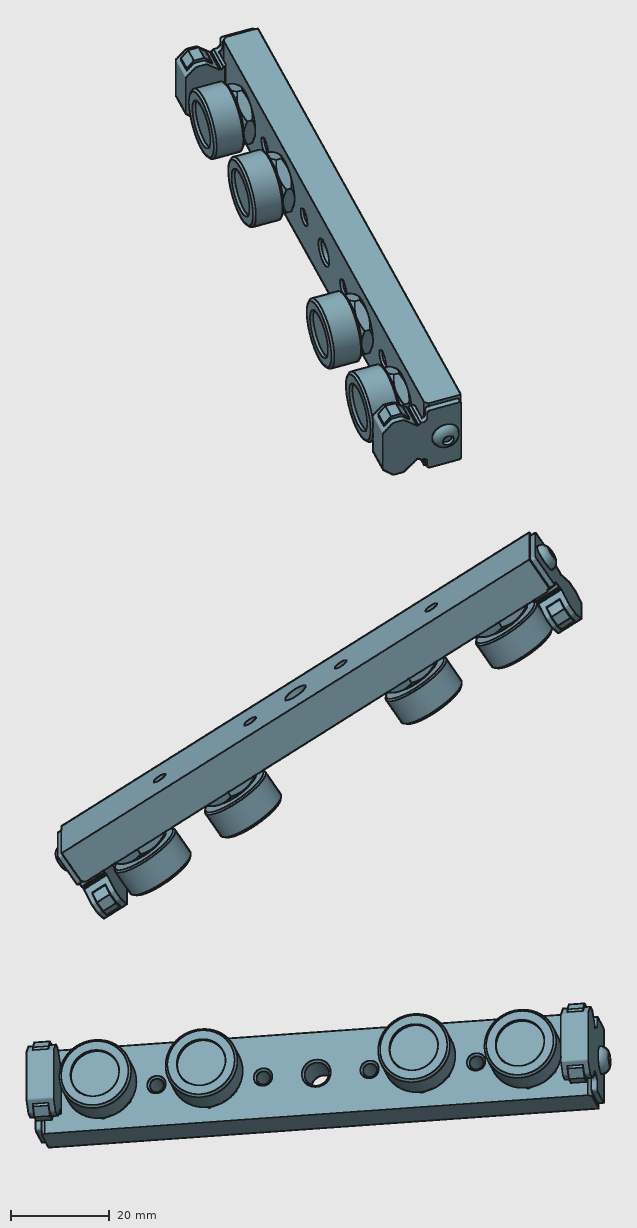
import cadquery as cq
import math


OVERALL_LENGTH = 119.8

RAIL_LENGTH = 113.8
RAIL_DEPTH = 7.8
RAIL_WIDTH = 18.0
RAIL_CHAMFER = 0.7
HOLE_PITCH = 11.0
SMALL_HOLE_RADIUS = 1.4
LARGE_HOLE_RADIUS = 2.5
HOLE_CHAMFER = 0.5

OUTER_ROLLER_X = 44.0
INNER_ROLLER_X = OUTER_ROLLER_X / 2
ROLLER_OFFSET = 0.4
ROLLER_RADIUS = 7.4
ROLLER_BACK_DEPTH = 10.8
ROLLER_FRONT_DEPTH = 17.4
ROLLER_FRONT_CHAMFER = 0.5
ROLLER_BACK_CHAMFER = 0.4
RECESS_RADIUS = 5.0
RECESS_DEPTH = 0.7
HEX_ACROSS_FLATS = 11.4
HEX_FRONT_DEPTH = 10.3
HEX_CHAMFER_HEIGHT = 0.7
COLLAR_RADIUS = 4.4

PLATE_THICKNESS = 1.2
PLATE_BACK_DEPTH = 0.4
PLATE_HALF_WIDTH = 8.1
PLATE_CORNER_RADIUS = 0.6
CAP_THICKNESS = 5.6
CAP_FRONT_DEPTH = 17.5
FACE_HALF_WIDTH = 5.2
NECK_HALF_WIDTH = 5.3
NECK_RADIUS = 1.0
NECK_END_DEPTH = 9.2
NECK_CLEARANCE = 0.7
NECK_CHAMFER = 0.5
GROOVE_HALF_WIDTH = 4.8
GROOVE_START_DEPTH = 9.7
GROOVE_END_DEPTH = 10.1
HEAD_HALF_WIDTH = 7.4
HEAD_TOP_START_DEPTH = 13.0
HEAD_TOP_END_DEPTH = 15.2
HEAD_CORNER_RADIUS = 1.0
FACE_CORNER_RADIUS = 0.6
PAD_RISE = 0.7
PAD_LENGTH = 3.2
PAD_BACK_DEPTH = 11.3
PAD_BACK_HALF_WIDTH = 6.4
PAD_FRONT_DEPTH = 16.8
PAD_FRONT_HALF_WIDTH = 6.5

SCREW_RADIUS = 2.9
SCREW_SHOULDER_RADIUS = 2.3
SCREW_SHOULDER_HEIGHT = 1.3
SOCKET_RADIUS = 1.2
SOCKET_DEPTH = 1.0

CAP_OUTER_X = RAIL_LENGTH / 2 + PLATE_THICKNESS
CAP_INNER_X = CAP_OUTER_X - CAP_THICKNESS
CAP_MIDDLE_X = CAP_OUTER_X - CAP_THICKNESS / 2
SCREW_HEIGHT = OVERALL_LENGTH / 2 - CAP_OUTER_X


def depth_plane(depth, x=0, z=0):
    """Workplane parallel to the rail's faces at a depth; extruding goes towards the front."""
    return cq.Workplane("XZ", origin=(x, -depth, z))


def cylinder(x, z, radius, start_depth, end_depth):
    return depth_plane(start_depth, x, z).circle(radius).extrude(end_depth - start_depth)


def rail_block(depth):
    return depth_plane(0).rect(RAIL_LENGTH, RAIL_WIDTH).extrude(depth)


def make_rail():
    rail = rail_block(RAIL_DEPTH).edges("|Z and <Y").chamfer(RAIL_CHAMFER)
    rail = rail.cut(cylinder(0, 0, LARGE_HOLE_RADIUS, 0, RAIL_DEPTH))
    for step in (-3, -1, 1, 3):
        rail = rail.cut(cylinder(step * HOLE_PITCH, 0, SMALL_HOLE_RADIUS, 0, RAIL_DEPTH))
    return rail.faces("<Y").edges("%CIRCLE").chamfer(HOLE_CHAMFER)


def make_hex(x, z):
    """Hexagonal base with two corners on Z, its corners chamfered at both ends."""
    corner_radius = HEX_ACROSS_FLATS / 2 / math.cos(math.pi / 6)
    corner_drop = corner_radius - HEX_ACROSS_FLATS / 2
    hexagon = (
        depth_plane(RAIL_DEPTH, x, z)
        .transformed(rotate=(0, 0, 30))
        .polygon(6, 2 * corner_radius)
        .extrude(HEX_FRONT_DEPTH - RAIL_DEPTH)
    )
    envelope = (
        cylinder(x, z, corner_radius, RAIL_DEPTH, HEX_FRONT_DEPTH)
        .faces("<Y or >Y")
        .edges()
        .chamfer(HEX_CHAMFER_HEIGHT, corner_drop)
    )
    return hexagon.intersect(envelope)


def make_roller(x, z):
    """Roller with its collar and hexagonal base, standing on the rail's front face."""
    wheel = cylinder(x, z, ROLLER_RADIUS, ROLLER_BACK_DEPTH, ROLLER_FRONT_DEPTH)
    wheel = wheel.faces("<Y").edges().chamfer(ROLLER_FRONT_CHAMFER)
    wheel = wheel.faces(">Y").edges().chamfer(ROLLER_BACK_CHAMFER)
    recess = cylinder(x, z, RECESS_RADIUS, ROLLER_FRONT_DEPTH - RECESS_DEPTH, ROLLER_FRONT_DEPTH)
    collar = cylinder(x, z, COLLAR_RADIUS, RAIL_DEPTH, ROLLER_BACK_DEPTH)
    return wheel.cut(recess).union(collar).union(make_hex(x, z))


def symmetric_prism(half_outline, x_start, length):
    """Extrude along X an outline given by (depth, half width) points of its +Z half."""
    upper = [(-depth, z) for depth, z in half_outline]
    lower = [(y, -z) for y, z in reversed(upper)]
    return cq.Workplane("YZ", origin=(x_start, 0, 0)).polyline(upper + lower).close().extrude(length)


def fillet_corners(solid, corners, radius):
    """Round the X-running edges at the given (depth, half width) corners on both sides."""
    for depth, z in corners:
        for side in (-1, 1):
            corner = (-CAP_MIDDLE_X, -depth, side * z)
            solid = solid.edges("|X").edges(cq.NearestToPointSelector(corner)).fillet(radius)
    return solid


def make_left_cap():
    plate_corners = [(PLATE_BACK_DEPTH, PLATE_HALF_WIDTH), (RAIL_DEPTH, PLATE_HALF_WIDTH)]
    neck_corner = (RAIL_DEPTH, NECK_HALF_WIDTH)
    head_corners = [(HEAD_TOP_START_DEPTH, HEAD_HALF_WIDTH), (HEAD_TOP_END_DEPTH, HEAD_HALF_WIDTH)]
    face_corner = (CAP_FRONT_DEPTH, FACE_HALF_WIDTH)
    outline = [
        *plate_corners,
        neck_corner,
        (NECK_END_DEPTH, NECK_HALF_WIDTH),
        (GROOVE_START_DEPTH, GROOVE_HALF_WIDTH),
        (GROOVE_END_DEPTH, GROOVE_HALF_WIDTH),
        *head_corners,
        face_corner,
    ]
    body = symmetric_prism(outline, -CAP_OUTER_X, CAP_THICKNESS)
    body = fillet_corners(body, plate_corners, PLATE_CORNER_RADIUS)
    body = fillet_corners(body, [neck_corner], NECK_RADIUS)
    body = fillet_corners(body, head_corners, HEAD_CORNER_RADIUS)
    body = fillet_corners(body, [face_corner], FACE_CORNER_RADIUS)

    body = body.cut(rail_block(RAIL_DEPTH + NECK_CLEARANCE))
    neck_back_edge = (-CAP_INNER_X, -RAIL_DEPTH - NECK_CLEARANCE, 0)
    body = body.edges("|Z").edges(cq.NearestToPointSelector(neck_back_edge)).chamfer(NECK_CHAMFER)

    pad_half_width = HEAD_HALF_WIDTH + PAD_RISE
    pad_outline = [
        (PAD_BACK_DEPTH, PAD_BACK_HALF_WIDTH),
        (HEAD_TOP_START_DEPTH, pad_half_width),
        (HEAD_TOP_END_DEPTH, pad_half_width),
        (PAD_FRONT_DEPTH, PAD_FRONT_HALF_WIDTH),
    ]
    return body.union(symmetric_prism(pad_outline, -RAIL_LENGTH / 2, PAD_LENGTH))


def make_left_screw():
    """Domed screw head with a round socket, seated on the cap at mid depth of the rail."""
    profile = (
        cq.Workplane("XY", origin=(-CAP_OUTER_X, -RAIL_DEPTH / 2, 0))
        .lineTo(0, SCREW_RADIUS)
        .threePointArc((-SCREW_SHOULDER_HEIGHT, SCREW_SHOULDER_RADIUS), (-SCREW_HEIGHT, SOCKET_RADIUS))
        .lineTo(SOCKET_DEPTH - SCREW_HEIGHT, SOCKET_RADIUS)
        .lineTo(SOCKET_DEPTH - SCREW_HEIGHT, 0)
        .close()
    )
    return profile.revolve(360, (0, 0, 0), (1, 0, 0))


def both_ends(left_body):
    return [left_body, left_body.mirror("YZ")]


rail = make_rail()
rollers = []
for side in (-1, 1):
    rollers.append(make_roller(side * OUTER_ROLLER_X, -ROLLER_OFFSET))
    rollers.append(make_roller(side * INNER_ROLLER_X, ROLLER_OFFSET))
caps = both_ends(make_left_cap())
screws = both_ends(make_left_screw())

result = cq.Compound.makeCompound([body.val() for body in [rail, *rollers, *caps, *screws]])